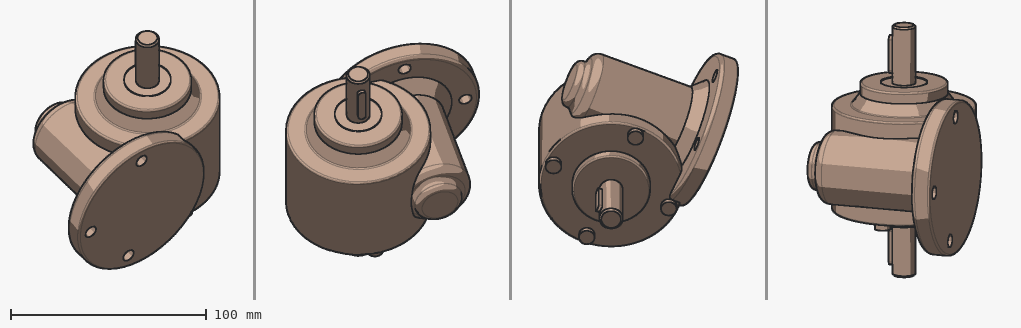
import cadquery as cq
import math


body_radius = 37.0
body_half_height = 27.5
body_edge_round = 1.0

cone_base_radius = 27.0
cone_base_fillet = 1.0
cone_height = 6.0
collar_radius = 22.5
collar_height = 6.0
collar_edge_round = 1.0
seal_recess_radius = 12.0
seal_recess_depth = 0.5

bearing_cap_radius = 20.0
bearing_cap_height = 5.0
bearing_cap_edge_round = 0.8
bolt_head_radius = 4.0
bolt_head_height = 3.0
bolt_circle_radius = 32.0
bolt_count = 4

shaft_radius = 6.0
shaft_extension = 30.0
shaft_chamfer = 1.0
key_length = 20.0
key_width = 4.0
key_reach = 7.7
upper_key_end_gap = 6.0
lower_key_end_gap = 5.0

worm_axis_y = -33.0
worm_housing_radius = 19.0
worm_housing_round = 4.7
worm_housing_start_x = -31.0
end_cap_radius = 12.5
end_cap_round = 3.0
end_cap_fillet = 3.0
end_cap_x = -body_radius
flare_start_x = 23.2
flare_radius = 25.0

flange_radius = 40.0
flange_thickness = 10.0
flange_face_x = 40.0
flange_front_round = 2.0
flange_back_round = 1.0
flange_hole_radius = 3.3
flange_hole_circle_radius = 32.2
flange_hole_angles = (90.0, 0.0, -75.0)

cover_top_z = body_half_height + cone_height + collar_height
bearing_cap_bottom_z = -body_half_height - bearing_cap_height
shaft_top_z = cover_top_z + shaft_extension
shaft_bottom_z = bearing_cap_bottom_z - shaft_extension
flange_back_x = flange_face_x - flange_thickness


def upright_cylinder(radius, bottom_z, height):
    return cq.Workplane("XY").workplane(offset=bottom_z).circle(radius).extrude(height)


def make_body():
    body = upright_cylinder(body_radius, -body_half_height, 2 * body_half_height)
    return body.faces("<Z or >Z").edges().fillet(body_edge_round)


def make_cover():
    collar_bottom_z = body_half_height + cone_height
    profile = [
        (0, body_half_height),
        (cone_base_radius, body_half_height),
        (collar_radius, collar_bottom_z),
        (collar_radius, cover_top_z),
        (0, cover_top_z),
    ]
    cover = cq.Workplane("XZ").polyline(profile).close().revolve(360, (0, 0), (0, 1))
    cover = cover.faces(">Z").edges().fillet(collar_edge_round)
    recess = upright_cylinder(seal_recess_radius, cover_top_z - seal_recess_depth, seal_recess_depth)
    return cover.cut(recess)


def make_covered_body():
    """Housing and cover, with a concave fillet where the cone meets the housing top."""
    covered_body = make_body().union(make_cover())
    reach = body_edge_round / 2
    near_top_face = cq.selectors.BoxSelector(
        (-reach, -reach, body_half_height - reach),
        (reach, reach, body_half_height + reach),
    )
    cone_foot = covered_body.edges(near_top_face).edges(cq.selectors.RadiusNthSelector(0))
    return cone_foot.fillet(cone_base_fillet)


def make_bearing_cap():
    cap = upright_cylinder(bearing_cap_radius, bearing_cap_bottom_z, bearing_cap_height)
    return cap.faces("<Z").edges().fillet(bearing_cap_edge_round)


def make_bolt_heads():
    return (
        cq.Workplane("XY")
        .workplane(offset=-body_half_height - bolt_head_height)
        .polarArray(bolt_circle_radius, 0, 360, bolt_count)
        .circle(bolt_head_radius)
        .extrude(bolt_head_height)
    )


def make_shaft():
    shaft = upright_cylinder(shaft_radius, shaft_bottom_z, shaft_top_z - shaft_bottom_z)
    return shaft.faces("<Z or >Z").edges().chamfer(shaft_chamfer)


def make_key(center_z):
    """Round-ended key standing out of the shaft toward -X."""
    return (
        cq.Workplane("YZ")
        .center(0, center_z)
        .slot2D(key_length, key_width, 90)
        .extrude(-key_reach)
    )


def make_worm_housing():
    """Turned shell with a stepped, rounded end and a flare into the flange."""
    round_x = worm_housing_start_x + worm_housing_round
    round_r = worm_housing_radius - worm_housing_round

    fillet_r = end_cap_radius + end_cap_fillet
    center_distance = worm_housing_round + end_cap_fillet
    fillet_x = round_x - math.sqrt(center_distance**2 - (fillet_r - round_r) ** 2)
    share = worm_housing_round / center_distance
    blend_point = (
        round_x + share * (fillet_x - round_x),
        round_r + share * (fillet_r - round_r),
    )

    profile = (
        cq.Workplane("XY")
        .moveTo(end_cap_x, 0)
        .lineTo(end_cap_x, end_cap_radius - end_cap_round)
        .radiusArc((end_cap_x + end_cap_round, end_cap_radius), end_cap_round)
        .lineTo(fillet_x, end_cap_radius)
        .radiusArc(blend_point, -end_cap_fillet)
        .radiusArc((round_x, worm_housing_radius), worm_housing_round)
        .lineTo(flare_start_x, worm_housing_radius)
        .lineTo(flange_back_x, flare_radius)
        .lineTo(flange_back_x, 0)
        .close()
    )
    housing = profile.revolve(360, (0, 0), (1, 0))
    return housing.translate((0, worm_axis_y, 0))


def make_flange():
    flange = (
        cq.Workplane("YZ")
        .workplane(offset=flange_back_x)
        .center(worm_axis_y, 0)
        .circle(flange_radius)
        .extrude(flange_thickness)
    )
    flange = flange.faces("<X").edges().fillet(flange_front_round)
    return flange.faces(">X").edges().fillet(flange_back_round)


def make_flange_holes():
    """Through-holes, at angles measured from -Y toward +Z."""
    centers = []
    for angle in flange_hole_angles:
        y = worm_axis_y - flange_hole_circle_radius * math.cos(math.radians(angle))
        z = flange_hole_circle_radius * math.sin(math.radians(angle))
        centers.append((y, z))
    return (
        cq.Workplane("YZ")
        .workplane(offset=flange_back_x)
        .pushPoints(centers)
        .circle(flange_hole_radius)
        .extrude(flange_thickness)
    )


upper_key_z = shaft_top_z - upper_key_end_gap - key_length / 2
lower_key_z = shaft_bottom_z + lower_key_end_gap + key_length / 2

result = (
    make_covered_body()
    .union(make_bearing_cap())
    .union(make_bolt_heads())
    .union(make_worm_housing())
    .union(make_flange().cut(make_flange_holes()))
    .union(make_shaft())
    .union(make_key(upper_key_z))
    .union(make_key(lower_key_z))
)